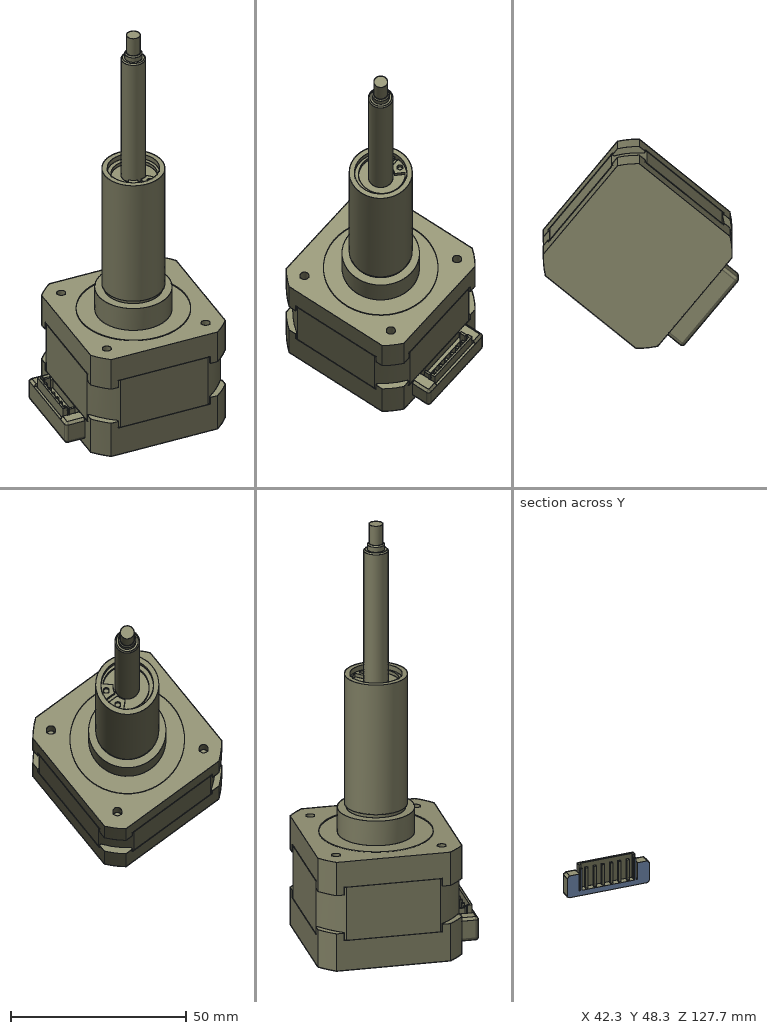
import cadquery as cq
import math

CASE_SIDE = 42.3
CASE_HEIGHT = 33.5
CAP_CORNER_DIAMETER = 53.9
CAP_SKIRT = 11.5
UPPER_SKIRT = 10.2
WINDOW_DEPTH = 2.3
WINDOW_WIDTH = 28.9
STATOR_RECESS = 0.1
STATOR_FLAT = 27.6
SCREW_SPACING = 31.0
SCREW_HOLE_DIAMETER = 2.5
SCREW_HOLE_DEPTH = 4.5
FACE_RECESS_DIAMETER = 32.7
FACE_RECESS_DEPTH = 0.3

FLANGE_DIAMETER = 22.1
FLANGE_TOP = 40.7
NECK_DIAMETER = 17.0
NECK_TOP = 41.9
TUBE_DIAMETER = 18.0
TUBE_TOP = 81.7
BORE_DIAMETER = 15.0
BORE_DEPTH = 2.5

RING_THICKNESS = 1.0
RING_INNER_DIAMETER = 13.3
RING_OFFSET = 0.5
LUG_INNER_DIAMETER = 8.0
LUG_HALF_ANGLE = 44
LUG_GAP = 1.1
LUG_HOLE_DIAMETER = 1.7
LUG_HOLE_X = 5.5
LUG_HOLE_SPACING = 5.4

ROD_DIAMETER = 7.0
ROD_SHOULDER = 119.9
ROD_CHAMFER = 0.4
COLLAR_DIAMETER = 5.0
COLLAR_TOP = 121.8
TIP_DIAMETER = 4.0
TIP_TOP = 127.7

CONNECTOR_WIDTH = 25.5
CONNECTOR_REACH = 6.0
CONNECTOR_BOTTOM = 2.0
CONNECTOR_TOP = CAP_SKIRT - WINDOW_DEPTH
CONNECTOR_ROUND = 0.9
CONNECTOR_TOP_CHAMFER = 0.8
SLOT_WIDTH = 18.0
SLOT_REACH = 5.2
SLOT_FLOOR = 3.8
SLOT_LEDGE_REACH = 1.1
SLOT_LEDGE_TOP = 6.4
SHROUD_WIDTH = 17.4
SHROUD_TOP = 11.5
SHROUD_START = 3.6
SHROUD_END = 5.0
SHROUD_WALL = 0.6
POST_START = 1.1
POST_END = 3.0
POST_TOP = 10.7
PIN_COUNT = 6
PIN_PITCH = 2.5
PIN_SIDE = 0.8
PIN_REACH = 3.5
PIN_TOP = 10.3

CASE_FRONT = -CASE_SIDE / 2


def cylinder(diameter, bottom, top):
    """Round bar on the Z axis between two heights."""
    return cq.Workplane("XY").workplane(offset=bottom).circle(diameter / 2).extrude(top - bottom)


def block(width, length, bottom, top):
    """Rectangular block centred on the Z axis between two heights."""
    return cq.Workplane("XY").workplane(offset=bottom).rect(width, length).extrude(top - bottom)


def front_block(width, start, end, bottom, top, x=0):
    """Block whose reach in -Y is counted from the front side of the case."""
    center_y = CASE_FRONT - (start + end) / 2
    return block(width, end - start, bottom, top).translate((x, center_y, 0))


def case_caps():
    """Both end caps, with windows that let the stator sides reach into them."""
    outline = block(CASE_SIDE, CASE_SIDE, 0, CASE_HEIGHT)
    caps = outline.intersect(cylinder(CAP_CORNER_DIAMETER, 0, CASE_HEIGHT))
    skirt_top = CASE_HEIGHT - UPPER_SKIRT
    caps = caps.cut(block(CASE_SIDE, CASE_SIDE, CAP_SKIRT, skirt_top))
    window_bottom = CAP_SKIRT - WINDOW_DEPTH
    window_top = skirt_top + WINDOW_DEPTH
    caps = caps.cut(block(WINDOW_WIDTH, CASE_SIDE, window_bottom, window_top))
    return caps.cut(block(CASE_SIDE, WINDOW_WIDTH, window_bottom, window_top))


def stator():
    side = CASE_SIDE - 2 * STATOR_RECESS
    corner_diameter = math.hypot(side, STATOR_FLAT)
    bottom = CAP_SKIRT - WINDOW_DEPTH
    top = CASE_HEIGHT - UPPER_SKIRT + WINDOW_DEPTH
    return block(side, side, bottom, top).intersect(cylinder(corner_diameter, bottom, top))


def motor_case():
    case = case_caps().union(stator())
    case = case.cut(cylinder(FACE_RECESS_DIAMETER, CASE_HEIGHT - FACE_RECESS_DEPTH, CASE_HEIGHT))
    screw_holes = (
        cq.Workplane("XY").workplane(offset=CASE_HEIGHT - SCREW_HOLE_DEPTH)
        .rect(SCREW_SPACING, SCREW_SPACING, forConstruction=True).vertices()
        .circle(SCREW_HOLE_DIAMETER / 2).extrude(SCREW_HOLE_DEPTH)
    )
    return case.cut(screw_holes)


def guide_tube():
    tube = cylinder(FLANGE_DIAMETER, CASE_HEIGHT - FACE_RECESS_DEPTH, FLANGE_TOP)
    tube = tube.union(cylinder(NECK_DIAMETER, FLANGE_TOP, NECK_TOP))
    tube = tube.union(cylinder(TUBE_DIAMETER, NECK_TOP, TUBE_TOP))
    return tube.cut(cylinder(BORE_DIAMETER, TUBE_TOP - BORE_DEPTH, TUBE_TOP))


def retaining_ring():
    """Eccentric open ring lying on the bore floor, with a drilled lug at each end."""
    bottom = TUBE_TOP - BORE_DEPTH
    top = bottom + RING_THICKNESS
    disc = cylinder(BORE_DIAMETER, bottom, top)
    ring = disc.cut(cylinder(RING_INNER_DIAMETER, bottom, top).translate((RING_OFFSET, 0, 0)))

    reach = BORE_DIAMETER
    spread = reach * math.tan(math.radians(LUG_HALF_ANGLE))
    wedge = (
        cq.Workplane("XY").workplane(offset=bottom)
        .polyline([(0, 0), (reach, -spread), (reach, spread)]).close().extrude(RING_THICKNESS)
    )
    lugs = disc.intersect(wedge).cut(cylinder(LUG_INNER_DIAMETER, bottom, top))
    holes = (
        cq.Workplane("XY").workplane(offset=bottom)
        .pushPoints([(LUG_HOLE_X, -LUG_HOLE_SPACING / 2), (LUG_HOLE_X, LUG_HOLE_SPACING / 2)])
        .circle(LUG_HOLE_DIAMETER / 2).extrude(RING_THICKNESS)
    )
    gap = block(BORE_DIAMETER, LUG_GAP, bottom, top).translate((BORE_DIAMETER / 2, 0, 0))
    return ring.union(lugs).cut(holes).cut(gap)


def connector():
    """Rounded housing with an open slot, a U-shaped shroud, two posts and a row of pins."""
    body = front_block(CONNECTOR_WIDTH, 0, CONNECTOR_REACH, CONNECTOR_BOTTOM, CONNECTOR_TOP)
    body = body.edges("|Z and <Y").fillet(CONNECTOR_ROUND)
    body = body.faces("<Z").edges("not >Y").fillet(CONNECTOR_ROUND)
    body = body.faces(">Z").edges("not >Y").chamfer(CONNECTOR_TOP_CHAMFER)

    lip_top = CONNECTOR_TOP - CONNECTOR_TOP_CHAMFER
    body = body.cut(front_block(SLOT_WIDTH, 0, SLOT_REACH, SLOT_FLOOR, CONNECTOR_TOP))
    body = body.cut(front_block(SLOT_WIDTH, 0, CONNECTOR_REACH, lip_top, CONNECTOR_TOP))
    body = body.union(front_block(SLOT_WIDTH, 0, SLOT_LEDGE_REACH, SLOT_FLOOR, SLOT_LEDGE_TOP))

    shroud = front_block(SHROUD_WIDTH, SHROUD_START, SHROUD_END, SLOT_FLOOR, SHROUD_TOP)
    opening_width = SHROUD_WIDTH - 2 * SHROUD_WALL
    opening_end = SHROUD_END - SHROUD_WALL
    body = body.union(
        shroud.cut(front_block(opening_width, SHROUD_START, opening_end, SLOT_FLOOR, SHROUD_TOP))
    )

    post_x = (SHROUD_WIDTH - SHROUD_WALL) / 2
    for x in (-post_x, post_x):
        body = body.union(front_block(SHROUD_WALL, POST_START, POST_END, SLOT_FLOOR, POST_TOP, x))

    pin_start = PIN_REACH - PIN_SIDE / 2
    for index in range(PIN_COUNT):
        x = (index - (PIN_COUNT - 1) / 2) * PIN_PITCH
        pin = front_block(PIN_SIDE, pin_start, pin_start + PIN_SIDE, SLOT_FLOOR, PIN_TOP, x)
        body = body.union(pin)
    return body


def motor_body():
    """Case, tube, ring and connector in one, with a blind hole for the rod."""
    body = motor_case().union(guide_tube()).union(retaining_ring()).union(connector())
    return body.cut(cylinder(ROD_DIAMETER, CASE_HEIGHT, TUBE_TOP))


def push_rod():
    rod = cylinder(ROD_DIAMETER, CASE_HEIGHT, ROD_SHOULDER).faces(">Z").chamfer(ROD_CHAMFER)
    collar = cylinder(COLLAR_DIAMETER, ROD_SHOULDER, COLLAR_TOP).faces(">Z").chamfer(ROD_CHAMFER)
    return rod.union(collar).union(cylinder(TIP_DIAMETER, COLLAR_TOP, TIP_TOP))


motor = motor_body()
rod = push_rod()
result = cq.Compound.makeCompound([motor.val(), rod.val()])